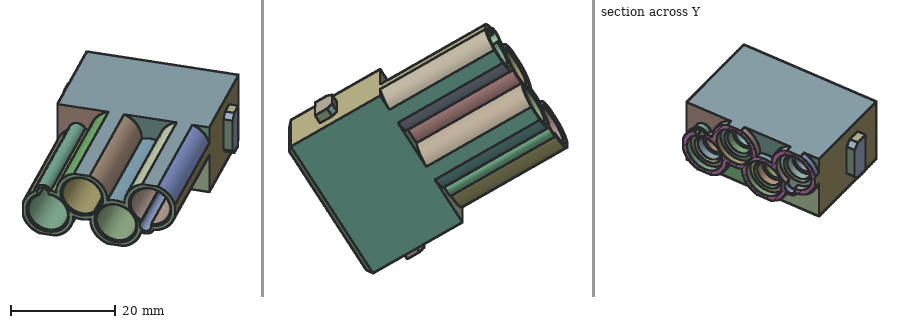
import cadquery as cq
import math

block_width = 30.45
block_height = 14.6
total_length = 44.7
block_length = 21.1
rear_chamfer = 1.0

overall_width = 34.1
tab_reach = (overall_width - block_width) / 2
tab_length = 3.85
tab_chamfer = 1.1
tab_rear_gap = 7.55
left_tab_height = 7.15
right_tab_height = 9.05

socket_pitch = 6.85
socket_rise = 2.4
sockets = [
    (-1.5 * socket_pitch, -socket_rise),
    (-0.5 * socket_pitch, socket_rise),
    (0.5 * socket_pitch, -socket_rise),
    (1.5 * socket_pitch, socket_rise),
]
tube_radius = 5.15
bore_radius = 4.0
mouth_radius = 4.25
mouth_depth = 0.35
contact_hole_radius = 2.05
seat_radius = 2.65
seat_mouth_radius = 3.1
seat_depth = 1.8
seat_taper_depth = 0.45

flattened_socket = 1
flat_distance = 3.8

key_offset_x = 0.95
key_offset_z = 4.4
key_radius = 1.75
groove_radius = 1.15

front_y = 0.0
block_front_y = total_length - block_length
rear_y = total_length


def cylinder(x, z, radius, start_y, end_y):
    """Round bar along Y between two Y positions."""
    return cq.Workplane(
        cq.Solid.makeCylinder(radius, end_y - start_y, cq.Vector(x, start_y, z), cq.Vector(0, 1, 0))
    )


def cone(x, z, start_radius, end_radius, start_y, end_y):
    """Tapered bar along Y between two Y positions."""
    return cq.Workplane(
        cq.Solid.makeCone(
            start_radius, end_radius, end_y - start_y, cq.Vector(x, start_y, z), cq.Vector(0, 1, 0)
        )
    )


def envelope(start_y, end_y):
    """Full block cross-section between two Y positions."""
    length = end_y - start_y
    return cq.Workplane("XY").box(block_width, length, block_height).translate((0, start_y + length / 2, 0))


def block():
    return envelope(block_front_y, rear_y).faces(">Y").edges().chamfer(rear_chamfer)


def tab(side, height):
    """Latch tab on one side (-1 left, +1 right), chamfered at its two front corners."""
    body = cq.Workplane("XY").box(tab_reach, tab_length, height).faces("<Y").edges("|X").chamfer(tab_chamfer)
    return body.translate(
        (side * (block_width + tab_reach) / 2, rear_y - tab_rear_gap - tab_length / 2, 0)
    )


def keys(radius, start_y, end_y):
    """Round bars at the two key positions, towards the middle height of the part."""
    first_x, first_z = sockets[0]
    last_x, last_z = sockets[-1]
    first = cylinder(first_x - key_offset_x, first_z + key_offset_z, radius, start_y, end_y)
    last = cylinder(last_x - key_offset_x, last_z - key_offset_z, radius, start_y, end_y)
    return first.union(last)


def tubes():
    """Joined tube bodies, trimmed flush with the block sides."""
    body = keys(key_radius, front_y, block_front_y)
    for x, z in sockets:
        body = body.union(cylinder(x, z, tube_radius, front_y, block_front_y))
    return body.intersect(envelope(front_y, block_front_y))


def flattened_bore(index, neighbour):
    """Bore with a flat on the side that faces the neighbouring socket."""
    x, z = sockets[index]
    next_x, next_z = sockets[neighbour]
    angle = math.degrees(math.atan2(next_z - z, next_x - x))
    keep_width = bore_radius + flat_distance
    keep = (
        cq.Workplane("XY")
        .box(keep_width, block_front_y, 2 * bore_radius)
        .translate((flat_distance - keep_width / 2, block_front_y / 2, 0))
        .rotate((0, 0, 0), (0, 1, 0), -angle)
        .translate((x, 0, z))
    )
    return cylinder(x, z, bore_radius, front_y, block_front_y).intersect(keep)


def contact_hole(x, z):
    """Through hole with a tapered seat at the bottom of the bore."""
    seat_start_y = block_front_y + seat_taper_depth
    hole = cylinder(x, z, contact_hole_radius, block_front_y, rear_y)
    seat = cylinder(x, z, seat_radius, seat_start_y, seat_start_y + seat_depth)
    taper = cone(x, z, seat_mouth_radius, seat_radius, block_front_y, seat_start_y)
    return hole.union(seat).union(taper)


result = block().union(tubes())
result = result.union(tab(-1, left_tab_height)).union(tab(1, right_tab_height))

for index, (x, z) in enumerate(sockets):
    if index == flattened_socket:
        bore = flattened_bore(index, index + 1)
    else:
        bore = cylinder(x, z, bore_radius, front_y, block_front_y)
    result = result.cut(bore)
    result = result.cut(cone(x, z, mouth_radius, bore_radius, front_y, front_y + mouth_depth))
    result = result.cut(contact_hole(x, z))

result = result.cut(keys(groove_radius, front_y, block_front_y))